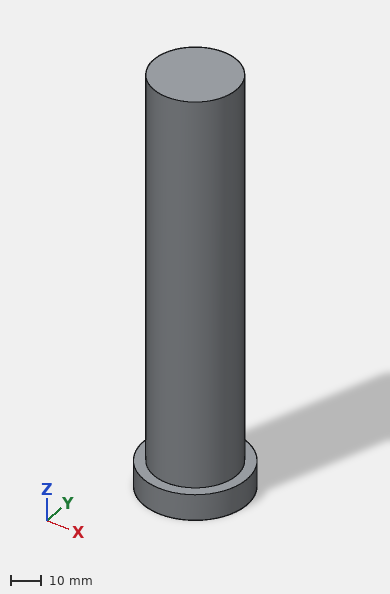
import cadquery as cq

total_length = 160.0
head_diameter = 40.0
head_height = 10.0
shank_diameter = 32.0

shank_length = total_length - head_height


def make_head():
    """Round head resting on the XY plane."""
    return cq.Workplane("XY").circle(head_diameter / 2).extrude(head_height)


def add_shank(body):
    """Plain cylindrical shank rising from the top of the head."""
    return body.faces(">Z").workplane().circle(shank_diameter / 2).extrude(shank_length)


result = add_shank(make_head())